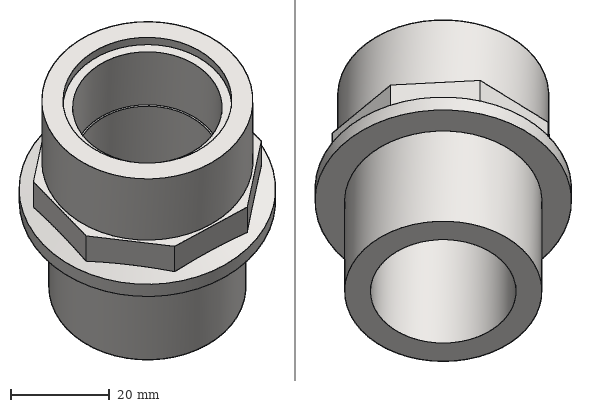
import cadquery as cq
import math

total_height = 56.6
flange_bottom = 26.0
flange_rim_top = 29.7
wrench_top = 38.0

spigot_diameter = 40.0
flange_diameter = 52.0
flange_slope_degrees = 15.0
wrench_corner_diameter = 47.5
wrench_side_count = 8
socket_diameter = 42.8

through_diameter = 29.5
thread_diameter = 30.29
recess_diameter = 34.2
recess_depth = 2.2
thread_bottom_depth = 18.3


def cylinder(diameter, bottom, top):
    """Cylinder on the Z axis between two heights."""
    return cq.Workplane("XY").workplane(offset=bottom).circle(diameter / 2).extrude(top - bottom)


def make_flange():
    """Round collar whose top face rises as a shallow cone toward the axis."""
    rim_radius = flange_diameter / 2
    crown_radius = spigot_diameter / 2
    crown_rise = (rim_radius - crown_radius) * math.tan(math.radians(flange_slope_degrees))
    crown_top = flange_rim_top + crown_rise
    profile = (
        cq.Workplane("XZ")
        .moveTo(0, flange_bottom)
        .lineTo(rim_radius, flange_bottom)
        .lineTo(rim_radius, flange_rim_top)
        .lineTo(crown_radius, crown_top)
        .lineTo(0, crown_top)
        .close()
    )
    return profile.revolve(360, (0, 0, 0), (0, 1, 0))


def make_wrench_octagon():
    """Octagonal grip with corners on the X and Y axes."""
    return (
        cq.Workplane("XY")
        .workplane(offset=flange_bottom)
        .polygon(wrench_side_count, wrench_corner_diameter)
        .extrude(wrench_top - flange_bottom)
    )


def make_body():
    """Solid outer shape: spigot, flange, octagon and socket."""
    spigot = cylinder(spigot_diameter, 0, flange_bottom)
    socket = cylinder(socket_diameter, flange_bottom, total_height)
    return spigot.union(make_flange()).union(make_wrench_octagon()).union(socket)


def make_bore():
    """Through bore that widens in two steps toward the top."""
    through = cylinder(through_diameter, 0, total_height)
    thread = cylinder(thread_diameter, total_height - thread_bottom_depth, total_height)
    recess = cylinder(recess_diameter, total_height - recess_depth, total_height)
    return through.union(thread).union(recess)


result = make_body().cut(make_bore())